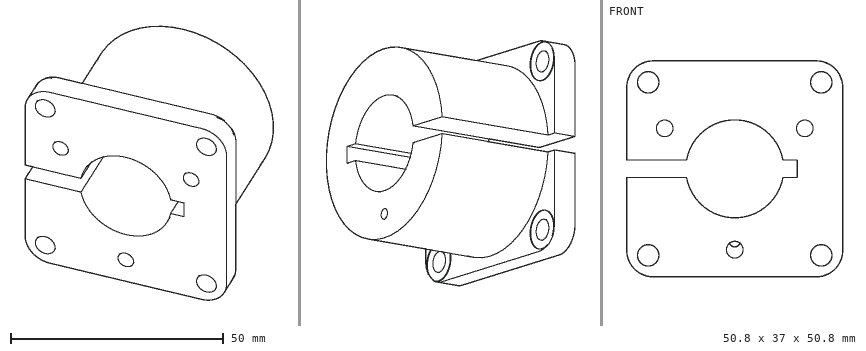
import cadquery as cq
import math

flange_side = 50.8
flange_thickness = 6.0
corner_radius = 6.3

total_length = 37.0
hub_diameter = 45.7
bore_diameter = 22.95

slit_width = 4.05
keyway_reach = 14.65

mount_spacing = 40.65
mount_diameter = 5.0

spot_face_diameter = 9.25
spot_face_depth = 0.2

front_hole_count = 3
front_first_angle = 30.0
front_circle_radius = 19.0
front_hole_diameter = 3.9
front_hole_depth = 15.25
drill_point_angle = 118.0

rear_circle_radius = 17.05
rear_hole_diameter = 2.5


def cylinder_along_y(x, z, diameter, y_start, length):
    """Solid cylinder running toward +Y from y_start."""
    return cq.Workplane(cq.Solid.makeCylinder(
        diameter / 2, length, cq.Vector(x, y_start, z), cq.Vector(0, 1, 0)))


def drilled_hole(x, z):
    """Blind hole from the front face with a conical drill point."""
    radius = front_hole_diameter / 2
    point_length = radius / math.tan(math.radians(drill_point_angle / 2))
    point = cq.Solid.makeCone(
        radius, 0, point_length, cq.Vector(x, front_hole_depth, z), cq.Vector(0, 1, 0))
    return cylinder_along_y(x, z, front_hole_diameter, 0, front_hole_depth).union(cq.Workplane(point))


flange = (
    cq.Workplane("XY")
    .box(flange_side, flange_thickness, flange_side, centered=(True, False, True))
    .edges("|Y")
    .fillet(corner_radius)
)
hub = cylinder_along_y(0, 0, hub_diameter, 0, total_length)
result = flange.union(hub)

result = result.cut(cylinder_along_y(0, 0, bore_diameter, 0, total_length))
slit_length = flange_side / 2 + keyway_reach
slit = (
    cq.Workplane("XY")
    .box(slit_length, total_length, slit_width, centered=(False, False, True))
    .translate((-flange_side / 2, 0, 0))
)
result = result.cut(slit)

spot_face_start = flange_thickness - spot_face_depth
for side_x in (-1, 1):
    for side_z in (-1, 1):
        mount_x = side_x * mount_spacing / 2
        mount_z = side_z * mount_spacing / 2
        result = result.cut(cylinder_along_y(mount_x, mount_z, mount_diameter, 0, flange_thickness))
        result = result.cut(
            cylinder_along_y(mount_x, mount_z, spot_face_diameter, spot_face_start, spot_face_depth))

for index in range(front_hole_count):
    angle = math.radians(front_first_angle + index * 360 / front_hole_count)
    hole_x = front_circle_radius * math.cos(angle)
    hole_z = front_circle_radius * math.sin(angle)
    result = result.cut(drilled_hole(hole_x, hole_z))

rear_hole_depth = total_length - front_hole_depth
result = result.cut(
    cylinder_along_y(0, -rear_circle_radius, rear_hole_diameter, front_hole_depth, rear_hole_depth))